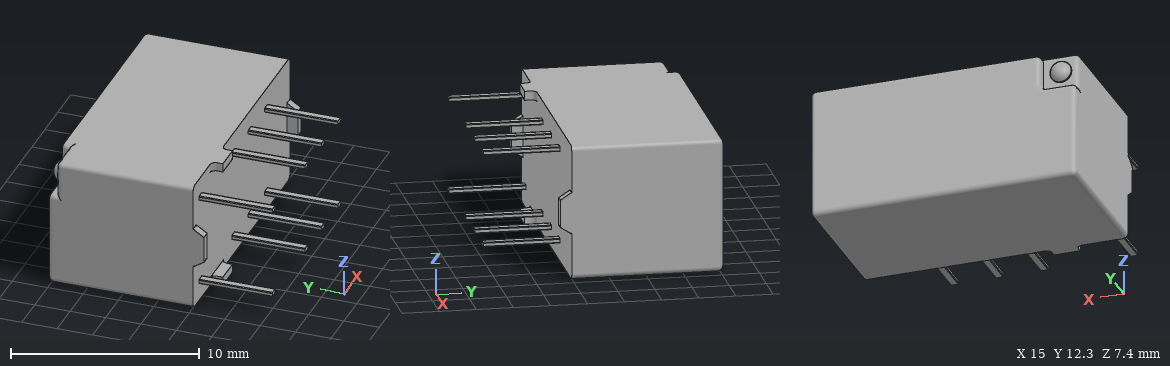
import cadquery as cq

length = 15.0
total_depth = 12.35
height = 7.4
body_depth = 8.2
edge_radius = 0.3

recess_size = 2.01
recess_depth = 0.5
marker_radius = 0.6
marker_rim = 0.09

tab_height = 0.62
tab_thickness = 0.5
tab_width = 1.5
end_tab_base = 2.3
side_tab_center = 3.68

pin_width = 0.5
pin_thickness = 0.25
pin_bevel = 0.05
pin_pitch = 2.54
pin_row_spacing = 2 * pin_pitch
first_pin_x = 1.15
pin_columns = (0, 2, 3, 4)

overlap = 0.15
mid_z = height / 2


def make_body():
    """Box with one recessed corner, rounded everywhere but on the -Y face."""
    block = cq.Workplane("XY").box(length, body_depth, height, centered=False)
    recess = (
        cq.Workplane("XY")
        .box(recess_size, recess_depth, recess_size, centered=False)
        .translate((0, body_depth - recess_depth, height - recess_size))
    )
    block = block.cut(recess)
    corner = (recess_size, body_depth - recess_depth / 2, height - recess_size)
    block = block.edges(cq.selectors.NearestToPointSelector(corner)).fillet(edge_radius)
    outer_edges = block.faces("<X or >X or <Z or >Z or >Y").edges("not <Y")
    return outer_edges.fillet(edge_radius)


def make_marker():
    """Domed button standing on the recess floor, its axis along Y."""
    inset = recess_size / 2
    dome_height = recess_depth - marker_rim
    dome_radius = (marker_radius**2 + dome_height**2) / (2 * dome_height)
    return (
        cq.Workplane("XY")
        .moveTo(0, -overlap)
        .lineTo(marker_radius, -overlap)
        .lineTo(marker_radius, marker_rim)
        .radiusArc((0, recess_depth), -dome_radius)
        .close()
        .revolve(360, (0, 0), (0, 1))
        .translate((inset, body_depth - recess_depth, height - inset))
    )


def make_side_tab(base_z):
    """Tab flush with the upper or lower face, flared by arcs at its root."""
    left = side_tab_center - tab_width / 2
    right = side_tab_center + tab_width / 2
    return (
        cq.Workplane("XY", origin=(0, 0, base_z))
        .moveTo(left - edge_radius, overlap)
        .lineTo(left - edge_radius, 0)
        .radiusArc((left, -edge_radius), edge_radius)
        .lineTo(left, -tab_height)
        .lineTo(right, -tab_height)
        .lineTo(right, -edge_radius)
        .radiusArc((right + edge_radius, 0), edge_radius)
        .lineTo(right + edge_radius, overlap)
        .close()
        .extrude(tab_thickness)
    )


def make_end_tab(base_x):
    """Tapered tab flush with one end of the body."""
    return (
        cq.Workplane("YZ", origin=(base_x, 0, 0))
        .moveTo(overlap, mid_z - end_tab_base / 2)
        .lineTo(0, mid_z - end_tab_base / 2)
        .lineTo(-tab_height, mid_z - tab_width / 2)
        .lineTo(-tab_height, mid_z + tab_width / 2)
        .lineTo(0, mid_z + end_tab_base / 2)
        .lineTo(overlap, mid_z + end_tab_base / 2)
        .close()
        .extrude(tab_thickness)
    )


def make_pin(x, z):
    pin_length = total_depth - body_depth
    return (
        cq.Workplane("XY")
        .box(pin_width, pin_length + overlap, pin_thickness, centered=(True, False, True))
        .edges("|Y")
        .chamfer(pin_bevel)
        .translate((x, -pin_length, z))
    )


result = make_body().union(make_marker())
for base_z in (0, height - tab_thickness):
    result = result.union(make_side_tab(base_z))
for base_x in (0, length - tab_thickness):
    result = result.union(make_end_tab(base_x))
for column in pin_columns:
    for row_side in (-1, 1):
        pin_x = first_pin_x + column * pin_pitch
        pin_z = mid_z + row_side * pin_row_spacing / 2
        result = result.union(make_pin(pin_x, pin_z))

result = result.translate((-length / 2, 0, -mid_z))